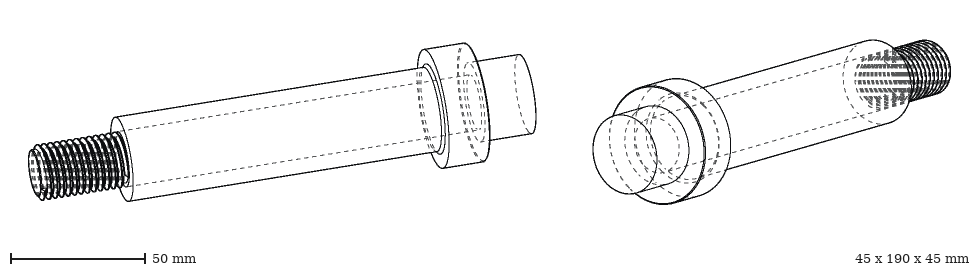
import cadquery as cq
import math

total_length = 190.0
head_length = 19.8
collar_length = 16.0
sleeve_end = 156.2

head_diameter = 30.0
collar_diameter = 45.0
sleeve_diameter = 32.0
thread_major_diameter = 20.9
thread_core_diameter = 17.9
bore_diameter = thread_major_diameter

tip_chamfer = 0.4
collar_chamfer = 0.4
collar_flare_reach = 1.1
collar_flare_length = 1.1

thread_turns = 13
thread_length = 32.5
thread_pitch = thread_length / thread_turns
thread_end_gap = 1.1
thread_angle = -5.5
flank_half_angle = 30.0
crest_width = 0.4
root_sink = 0.2

core_radius = thread_core_diameter / 2
crest_radius = thread_major_diameter / 2


def rod(start, end, diameter):
    """Round bar along +Z between two stations."""
    return cq.Workplane("XY").workplane(offset=start).circle(diameter / 2).extrude(end - start)


def along_part_axis(body):
    """Lay a body built along +Z down so that its tip points to -Y."""
    return body.rotate((0, 0, 0), (1, 0, 0), 90)


def make_thread_ridge():
    """Tapered tooth swept along a right-hand helix, sunk slightly into the core."""
    root_radius = core_radius - root_sink
    crest_half = crest_width / 2
    root_half = crest_half + (crest_radius - root_radius) * math.tan(math.radians(flank_half_angle))
    helix = cq.Wire.makeHelix(thread_pitch, thread_length, core_radius)
    ridge = (
        cq.Workplane("XZ")
        .moveTo(root_radius, -root_half)
        .lineTo(crest_radius, -crest_half)
        .lineTo(crest_radius, crest_half)
        .lineTo(root_radius, root_half)
        .close()
        .sweep(cq.Workplane(helix), isFrenet=True)
    )
    thread_start = total_length - thread_end_gap - thread_length
    return ridge.rotate((0, 0, 0), (0, 0, 1), thread_angle).translate((0, 0, thread_start))


def make_pin():
    """Headed pin: head behind the collar, shank in the sleeve bore, threaded tip in front."""
    head = rod(0, head_length, head_diameter)
    shank = rod(head_length, sleeve_end, bore_diameter)
    core = rod(sleeve_end, total_length, thread_core_diameter).faces(">Z").edges().chamfer(tip_chamfer)
    exposed_ridge = make_thread_ridge().intersect(rod(sleeve_end, total_length, collar_diameter))
    return along_part_axis(head.union(shank).union(core.union(exposed_ridge)))


def make_sleeve():
    """Long sleeve with a collar at its rear end, bored through for the pin shank."""
    collar_end = head_length + collar_length
    collar = rod(head_length, collar_end, collar_diameter).faces("<Z").edges().chamfer(collar_chamfer)
    tube = rod(head_length, sleeve_end, sleeve_diameter)
    flare = (
        cq.Workplane("XY")
        .workplane(offset=collar_end)
        .circle(sleeve_diameter / 2 + collar_flare_reach)
        .workplane(offset=collar_flare_length)
        .circle(sleeve_diameter / 2)
        .loft()
    )
    bore = rod(head_length, sleeve_end, bore_diameter)
    return along_part_axis(collar.union(tube).union(flare).cut(bore))


pin = make_pin()
sleeve = make_sleeve()

result = cq.Compound.makeCompound([pin.solids().val(), sleeve.solids().val()])